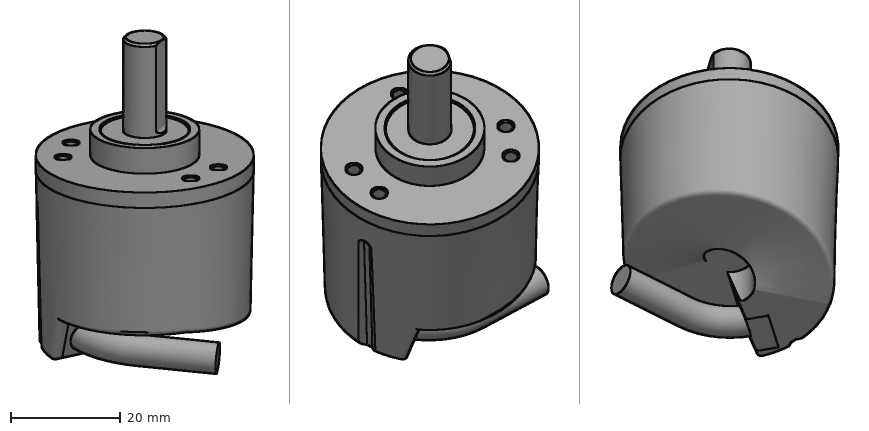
import cadquery as cq
import math


flange_radius = 20.0
flange_thickness = 3.0
spigot_radius = flange_radius / 2
spigot_height = 5.0
seat_radius = 8.1
seat_chamfer = 0.25

hole_radius = 1.25
hole_chamfer = 0.3
hole_circle_radius = 15.0
pattern_turn = 4.0
hole_angles = [pattern_turn + angle for angle in (-30, 0, 90, 180, 210)]

shaft_radius = 4.0
shaft_top = 23.0
shaft_chamfer = 0.5
flat_distance = 3.5
flat_end_radius = 1.0

housing_top = -flange_thickness
housing_bottom = -36.85
housing_bottom_radius = 19.3
edge_radius = 0.9

ceiling_height = 8.5
ceiling_z = housing_bottom + ceiling_height
ramp_start_angle = 180.0
ramp_sweep = 217.0
ramp_end_angle = ramp_start_angle - ramp_sweep
hub_radius = 4.7

wall_outer_x = -7.8
wall_outer_y = -17.75
wall_direction = 62.0
wall_draft = 16.5

groove_angle = 215.2
groove_width = 3.15
groove_floor_width = 1.2
groove_depth = 0.6
groove_top = -8.45
groove_lean = 0.95

cable_radius = 2.92
cable_end_x = 19.0
cable_end_y = -6.15
cable_angle = 22.0
cable_straight_length = 14.8
cable_bend_radius = 15.05
cable_bend_angle = 54.0
cable_height = -33.1
cable_fall = 3.5

grommet_start = 2.1
grommet_width = 8.15
grommet_length = 12.05
grommet_depth = 4.0
grommet_corner = 1.5

margin = 3.0
tool_radius = flange_radius + margin
tool_bottom = housing_bottom - margin


def polar(radius, angle):
    turn = math.radians(angle)
    return radius * math.cos(turn), radius * math.sin(turn)


def make_disc(radius, bottom, top):
    return cq.Workplane("XY").workplane(offset=bottom).circle(radius).extrude(top - bottom)


def make_cone(bottom_radius, top_radius, bottom, top):
    return cq.Workplane(
        cq.Solid.makeCone(bottom_radius, top_radius, top - bottom, pnt=cq.Vector(0, 0, bottom))
    )




def make_flange():
    plate = make_disc(flange_radius, -flange_thickness, 0)
    spigot = make_disc(spigot_radius, 0, spigot_height)
    seat = make_disc(seat_radius, 0, spigot_height)
    seat_mouth = make_cone(
        seat_radius, seat_radius + seat_chamfer, spigot_height - seat_chamfer, spigot_height
    )
    bore = make_disc(shaft_radius, -flange_thickness, 0)
    flange = plate.union(spigot).cut(seat).cut(seat_mouth).cut(bore)

    centres = cq.Workplane("XY").pushPoints([polar(hole_circle_radius, angle) for angle in hole_angles])
    holes = centres.circle(hole_radius).extrude(-flange_thickness)
    countersinks = centres.circle(hole_radius + hole_chamfer).extrude(-hole_chamfer, taper=45)
    return flange.cut(holes).cut(countersinks)


def make_bearing():
    bearing = make_disc(seat_radius, 0, spigot_height - seat_chamfer)
    return bearing.cut(make_disc(shaft_radius, 0, spigot_height))


def make_shaft():
    shaft = make_disc(shaft_radius, -flange_thickness, shaft_top)
    shaft = shaft.faces(">Z").edges().chamfer(shaft_chamfer)
    flat = (
        cq.Workplane("XY")
        .box(2 * shaft_radius, 2 * shaft_radius, shaft_top, centered=(False, True, False))
        .translate((flat_distance, 0, spigot_height))
        .edges("<X and <Z")
        .fillet(flat_end_radius)
    )
    return shaft.cut(flat)




def make_wall_plane():
    """Plane of the drafted wall: local x runs inward along it, local z points out of it."""
    along_x, along_y = polar(1, wall_direction)
    level, down = polar(1, wall_draft)
    return cq.Plane(
        origin=(wall_outer_x, wall_outer_y, ceiling_z),
        xDir=(along_x, along_y, 0),
        normal=(level * along_y, -level * along_x, -down),
    )


def make_ramp_tool():
    """Solid below a helical surface, swept clockwise from the foot up to the ceiling."""
    inner = hub_radius / 2
    outer = tool_radius
    pitch = ceiling_height * 360 / ramp_sweep

    def helix(radius):
        return cq.Wire.makeHelix(pitch, ceiling_height, radius, lefthand=True)

    def base_arc(radius):
        points = [cq.Vector(*polar(radius, -ramp_sweep * step / 2), -margin) for step in range(3)]
        return cq.Wire.assembleEdges([cq.Edge.makeThreePointArc(*points)])

    def end_face(angle, height):
        near = polar(inner, angle)
        far = polar(outer, angle)
        corners = [(*near, -margin), (*far, -margin), (*far, height), (*near, height)]
        outline = cq.Wire.makePolygon([cq.Vector(*corner) for corner in corners], close=True)
        return cq.Face.makeFromWires(outline)

    faces = [
        cq.Face.makeRuledSurface(helix(inner), helix(outer)),
        cq.Face.makeRuledSurface(base_arc(inner), base_arc(outer)),
        cq.Face.makeRuledSurface(helix(inner), base_arc(inner)),
        cq.Face.makeRuledSurface(helix(outer), base_arc(outer)),
        end_face(0, 0),
        end_face(-ramp_sweep, ceiling_height),
    ]
    solid = cq.Solid.makeSolid(cq.Shell.makeShell(faces)).fix()
    solid = solid.rotate((0, 0, 0), (0, 0, 1), ramp_start_angle)
    return cq.Workplane(solid).translate((0, 0, housing_bottom))


def make_ceiling_tool():
    """Level pocket from the end of the ramp round to the drafted wall."""
    sector_sweep = 120
    sector = (
        cq.Workplane("XY")
        .workplane(offset=tool_bottom)
        .lineTo(*polar(tool_radius, ramp_end_angle))
        .threePointArc(
            polar(tool_radius, ramp_end_angle - sector_sweep / 2),
            polar(tool_radius, ramp_end_angle - sector_sweep),
        )
        .close()
        .extrude(ceiling_z - tool_bottom)
    )
    reach = 4 * flange_radius
    front_of_wall = cq.Workplane(make_wall_plane()).rect(reach, reach).extrude(reach)
    return sector.intersect(front_of_wall)


def make_cap():
    cap = make_cone(housing_bottom_radius, flange_radius, housing_bottom, housing_top)
    hub = make_disc(hub_radius, tool_bottom, ceiling_z)
    cap = cap.cut(make_ramp_tool()).cut(make_ceiling_tool()).cut(hub)

    tolerance = 0.05
    underside = cq.selectors.BoxSelector(
        (-tool_radius, -tool_radius, tool_bottom),
        (tool_radius, tool_radius, ceiling_z + margin),
    )
    core_reach = hub_radius + margin / 2
    core = cq.selectors.BoxSelector(
        (-core_reach, -core_reach, tool_bottom),
        (core_reach, core_reach, ceiling_z + margin),
    )
    straight = cq.selectors.TypeSelector("LINE")
    foot = cq.selectors.BoxSelector(
        (-tool_radius, -tool_radius, housing_bottom - tolerance),
        (tool_radius, -hub_radius, housing_bottom + tolerance),
    )
    rim = underside - core - straight
    return cap.edges(rim + (foot - core)).fillet(edge_radius)




def make_groove_tool():
    """Round-topped channel with sloping sides, cut from its floor outward."""
    slope = (groove_width - groove_floor_width) / 2 / groove_depth
    flare = math.degrees(math.atan(slope))
    half_width = groove_floor_width / 2
    floor_top = groove_top - slope * groove_depth
    tool = (
        cq.Workplane("YZ")
        .moveTo(-half_width, tool_bottom)
        .lineTo(half_width, tool_bottom)
        .lineTo(half_width, floor_top - half_width)
        .threePointArc((0, floor_top), (-half_width, floor_top - half_width))
        .close()
        .extrude(2 * groove_depth, taper=-flare)
    )
    side_slope = (flange_radius - housing_bottom_radius) / (housing_top - housing_bottom)
    surface_radius = flange_radius - side_slope * (housing_top - groove_top)
    lean = math.degrees(math.atan(groove_lean / (groove_top - housing_bottom)))
    tool = tool.translate((surface_radius - groove_depth, 0, 0))
    tool = tool.rotate((surface_radius, 0, groove_top), (surface_radius, 1, groove_top), lean)
    return tool.rotate((0, 0, 0), (0, 0, 1), groove_angle)


def make_grommet_block():
    """Block set flush into the wall, with its outer upper corner rounded."""
    end = grommet_start + grommet_width
    return (
        cq.Workplane(make_wall_plane())
        .moveTo(grommet_start, -grommet_length)
        .lineTo(grommet_start, -grommet_corner)
        .radiusArc((grommet_start + grommet_corner, 0), grommet_corner)
        .lineTo(end, 0)
        .lineTo(end, -grommet_length)
        .close()
        .extrude(-grommet_depth)
    )


def make_cable():
    heading = cq.Vector(*polar(1, cable_angle), 0)
    left = cq.Vector(-heading.y, heading.x, 0)
    free_end = cq.Vector(cable_end_x, cable_end_y, 0)
    bend_start = free_end - heading * cable_straight_length
    bend_centre = bend_start + left * cable_bend_radius

    def on_bend(angle):
        point = bend_centre + cq.Vector(*polar(cable_bend_radius, cable_angle - 90 - angle), 0)
        return point.x, point.y

    path = (
        cq.Workplane("XY")
        .moveTo(free_end.x, free_end.y)
        .lineTo(bend_start.x, bend_start.y)
        .threePointArc(on_bend(cable_bend_angle / 2), on_bend(cable_bend_angle))
    )
    end_plane = cq.Plane(origin=free_end.toTuple(), xDir=(0, 0, 1), normal=(-heading).toTuple())
    cable = cq.Workplane(end_plane).circle(cable_radius).sweep(path)
    return cable.rotate((0, 0, 0), (0, 1, 0), cable_fall).translate((0, 0, cable_height))


flange = make_flange()
bearing = make_bearing()
shaft = make_shaft()
cable = make_cable()
cap = make_cap()
grommet_block = make_grommet_block()
housing = cap.cut(make_groove_tool()).cut(grommet_block)
grommet = cap.intersect(grommet_block).cut(cable)

bodies = [flange, bearing, shaft, housing, grommet, cable]
result = cq.Compound.makeCompound([body.val() for body in bodies])